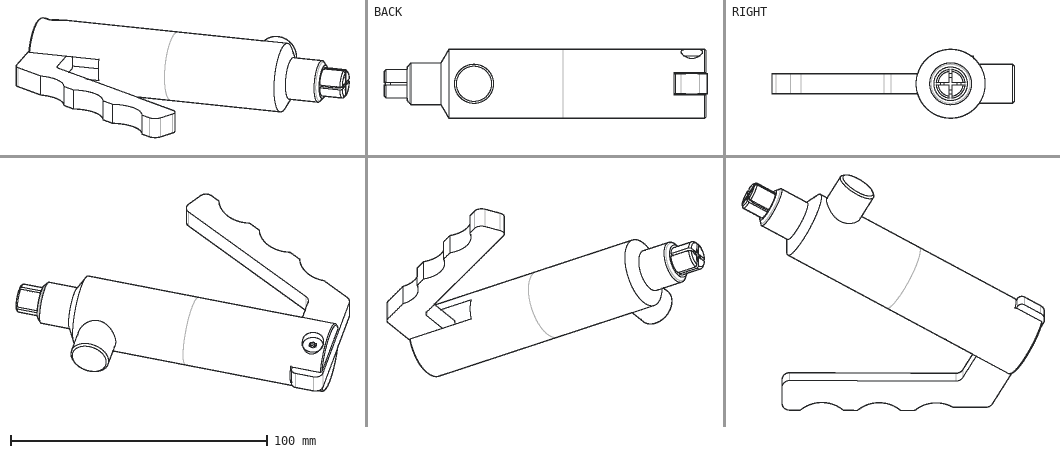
import cadquery as cq
import math


body_dia = 27.0
body_start = 0.5
body_end = 100.8
joint_x = 56.2
rear_chamfer = 0.5
cone_angle = 30.0
neck_dia = 16.4
neck_end = 117.1
neck_bevel_start = 115.5
neck_bevel_middle = 116.0
neck_middle_dia = 15.2
neck_nose_dia = 13.1
tip_dia = 11.2
tip_end = 126.0
tip_chamfer = 0.8

slit_count = 4
slit_width = 1.1
core_dia = 8.0
core_nose_dia = 5.0
core_cone_start = 123.5
core_end = 125.6

boss_dia = 15.2
boss_x = 91.0
boss_top = 25.0
boss_chamfer = 0.8

lever_thickness = 8.0
slot_width = 8.7
slot_back_end = 13.0
slot_front_end = 29.2

pivot_x = 6.0
pivot_y = 5.0
pivot_dia = 4.8
pivot_hole_dia = 5.0
head_dia = 8.0
head_pocket_dia = 8.3
head_top = 10.8
head_pocket_floor = 7.5
socket_dia = 2.9
socket_lobes = 6
socket_notch_dia = 0.8
socket_depth = 1.5

lever_top = 15.4
lever_head_width = 12.3
lever_arm_width = 15.6
lever_corner_radius = 3.0
lever_heel_radius = 2.0
handle_angle = 30.0
handle_outer_y = -28.9
handle_inner_y = -25.1
handle_length = 81.3
grip_rise = 1.5
grip_radius = 12.5
grip_chord = 16.9
grip_pitch = 22.3
grip_count = 3
grip_first = 21.0


def x_cylinder(diameter, start, end):
    return cq.Workplane("YZ", origin=(start, 0, 0)).circle(diameter / 2).extrude(end - start)


def z_cylinder(diameter, bottom, top):
    """Cylinder on the pivot axis."""
    base = cq.Workplane("XY", origin=(pivot_x, pivot_y, bottom))
    return base.circle(diameter / 2).extrude(top - bottom)


def make_turned_body():
    """Sleeve, cone, neck and tip, built from round stretches along X."""
    cone_length = (body_dia - neck_dia) / 2 * math.tan(math.radians(cone_angle))
    rear = x_cylinder(body_dia, body_start, joint_x).faces("<X").chamfer(rear_chamfer)
    front_profile = [
        (joint_x, 0),
        (joint_x, body_dia / 2),
        (body_end, body_dia / 2),
        (body_end + cone_length, neck_dia / 2),
        (neck_bevel_start, neck_dia / 2),
        (neck_bevel_middle, neck_middle_dia / 2),
        (neck_end, neck_nose_dia / 2),
        (neck_end, tip_dia / 2),
        (tip_end - tip_chamfer, tip_dia / 2),
        (tip_end, tip_dia / 2 - tip_chamfer),
        (tip_end, 0),
    ]
    front = cq.Workplane("XY").polyline(front_profile).close().revolve(360, (0, 0, 0), (1, 0, 0))
    return rear.union(front, clean=False)


def make_tip_slits():
    """Lengthwise slits around the tip, stopping at a core with a tapered nose."""
    core_profile = [
        (neck_end, 0),
        (neck_end, core_dia / 2),
        (core_cone_start, core_dia / 2),
        (core_end, core_nose_dia / 2),
        (core_end, 0),
    ]
    core = cq.Workplane("XY").polyline(core_profile).close().revolve(360, (0, 0, 0), (1, 0, 0))
    slits = cq.Workplane("XY")
    for i in range(slit_count):
        slit = cq.Workplane("XY", origin=(neck_end, 0, 0)).box(
            tip_end - neck_end, slit_width, tip_dia, centered=(False, True, False))
        slits = slits.add(slit.rotate((0, 0, 0), (1, 0, 0), i * 360 / slit_count))
    return slits.combine().cut(core)


def make_side_boss():
    boss = cq.Workplane("XZ", origin=(boss_x, 0, 0)).circle(boss_dia / 2).extrude(-boss_top)
    return boss.faces(">Y").chamfer(boss_chamfer)


def make_lever_slot():
    """Through slot, longer on the -Y side of the axis."""
    outline = [
        (0, body_dia),
        (slot_back_end, body_dia),
        (slot_back_end, 0),
        (slot_front_end, 0),
        (slot_front_end, -body_dia),
        (0, -body_dia),
    ]
    return cq.Workplane("XY").polyline(outline).close().extrude(slot_width / 2, both=True)


def make_socket():
    """Six-lobed drive recess in the screw head."""
    socket = z_cylinder(socket_dia, head_top - socket_depth, head_top)
    notches = (
        cq.Workplane("XY", origin=(pivot_x, pivot_y, head_top - socket_depth))
        .polarArray(socket_dia / 2, 0, 360, socket_lobes)
        .circle(socket_notch_dia / 2)
        .extrude(socket_depth)
    )
    return socket.cut(notches)


def make_housing():
    """Body with its pivot screw: a head in a pocket and a pin across the slot."""
    body = make_turned_body().union(make_side_boss(), clean=False)
    body = body.cut(make_lever_slot(), clean=False).cut(make_tip_slits(), clean=False)
    body = body.cut(z_cylinder(head_pocket_dia, head_pocket_floor, body_dia), clean=False)
    head = z_cylinder(head_dia, head_pocket_floor, head_top).cut(make_socket())
    pin = z_cylinder(pivot_dia, -slot_width / 2, slot_width / 2)
    return body.union(head, clean=False).union(pin, clean=False)


def handle_point(along, out):
    """Point at a distance along the outer handle edge and outward from it."""
    slope = math.radians(handle_angle)
    x = along * math.cos(slope) - out * math.sin(slope)
    y = handle_outer_y - along * math.sin(slope) - out * math.cos(slope)
    return (x, y)


def make_lever_blank():
    """Lever outline with its ridge line raised from the first scallop to the tip."""
    slope = math.radians(handle_angle)
    inner_y_at_zero = handle_inner_y + lever_arm_width * math.tan(slope)
    handle_depth = (inner_y_at_zero - handle_outer_y) * math.cos(slope)
    step = lever_arm_width - lever_head_width
    arm_inner = (lever_arm_width, handle_inner_y)
    arm_outer = (0, handle_outer_y)
    tip_inner = handle_point(handle_length, -handle_depth)
    tip_outer = handle_point(handle_length, grip_rise)
    outline = [
        (0, lever_top),
        (lever_head_width, lever_top),
        (lever_head_width, 0),
        (lever_arm_width, -step),
        arm_inner,
        tip_inner,
        tip_outer,
        handle_point(grip_first, grip_rise),
        handle_point(grip_first, 0),
        arm_outer,
    ]
    blank = cq.Workplane("XY").polyline(outline).close().extrude(lever_thickness / 2, both=True)
    corner_radii = [
        ((0, lever_top), lever_corner_radius),
        ((lever_head_width, lever_top), lever_heel_radius),
        (arm_inner, lever_corner_radius),
        (tip_inner, lever_corner_radius),
        (tip_outer, lever_corner_radius),
        (arm_outer, lever_corner_radius),
    ]
    for (x, y), radius in corner_radii:
        corner = cq.selectors.NearestToPointSelector((x, y, 0))
        blank = blank.edges("|Z").edges(corner).fillet(radius)
    return blank


def make_lever():
    lever = make_lever_blank()
    center_out = grip_rise + math.sqrt(grip_radius**2 - (grip_chord / 2) ** 2)
    centers = [handle_point(grip_first + i * grip_pitch, center_out) for i in range(grip_count)]
    scallops = cq.Workplane("XY").pushPoints(centers).circle(grip_radius)
    lever = lever.cut(scallops.extrude(lever_thickness, both=True))
    return lever.cut(z_cylinder(pivot_hole_dia, -lever_thickness, lever_thickness))


housing = make_housing()
lever = make_lever()

result = cq.Compound.makeCompound([housing.solids().val(), lever.solids().val()])